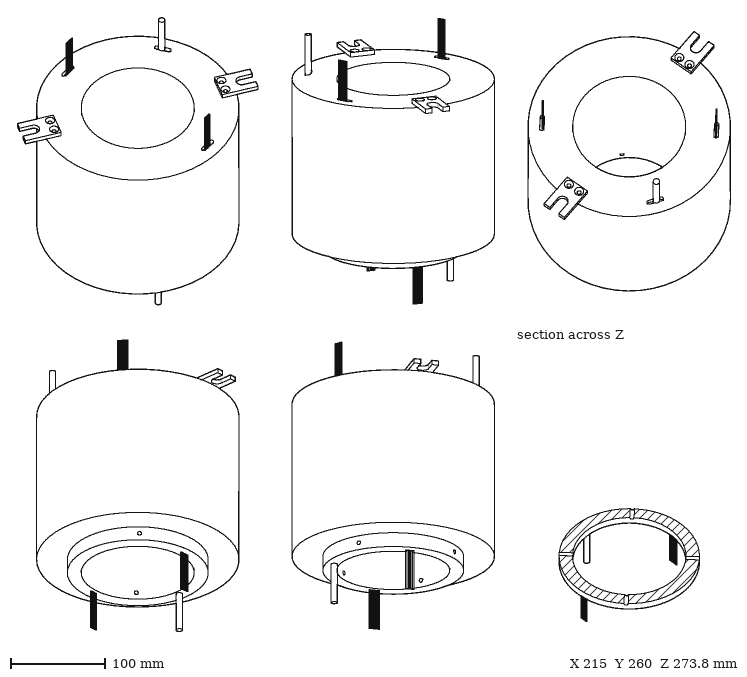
import cadquery as cq
import math

housing_diameter = 215.0
housing_height = 172.0
collar_diameter = 149.5
collar_height = 15.5
bore_diameter = 120.0
housing_top = collar_height + housing_height

set_screw_diameter = 4.0
set_screw_angles = (45, 135, 225, 315)

tab_width = 27.0
tab_length = 40.0
tab_thickness = 5.0
tab_span = 260.0
tab_inner_end = tab_span / 2 - tab_length
fork_width = 12.0
fork_depth = 20.0

screw_spacing = 13.7
screw_end_margin = 5.8
screw_diameter = 4.0
screw_head_diameter = 9.5
screw_depth = 11.0
countersink_angle = 90
drill_point_angle = 118

top_lead_length = 43.0
bottom_lead_length = 43.3
top_lead_radius = 92.5
bottom_lead_radius = 65.5
cable_diameter = 6.8
cable_shift = 1.5
thick_wire_diameter = 1.5
thick_wires_per_row = 6
thin_wire_diameter = 0.95
thin_wires_per_row = 12
thin_row_shift = 2.5
wire_overlap = 0.03

lead_slot_length = 18.0
lead_slot_width = 4.7
lead_slot_depth = 5.5

top_cable_angle = 145
top_double_row_angle = 35
top_single_row_angle = 215
bottom_cable_angle = 0
bottom_double_row_angle = 90
bottom_single_row_angle = 270


def cylinder(diameter, bottom, height):
    """Upright cylinder on the Z axis."""
    return cq.Workplane("XY").workplane(offset=bottom).circle(diameter / 2).extrude(height)


def place_around_axis(shape, radius, angle):
    """Move a shape out from the axis and swing it round; its Y becomes the tangent."""
    return shape.translate((radius, 0, 0)).rotate((0, 0, 0), (0, 0, 1), angle)


def make_body():
    """Housing and collar with the common bore and the collar's set-screw holes."""
    body = cylinder(collar_diameter, 0, collar_height)
    body = body.union(cylinder(housing_diameter, collar_height, housing_height))
    body = body.cut(cylinder(bore_diameter, 0, housing_top))
    drill = (
        cq.Workplane("YZ")
        .center(0, collar_height / 2)
        .circle(set_screw_diameter / 2)
        .extrude(collar_diameter / 2)
    )
    for angle in set_screw_angles:
        body = body.cut(drill.rotate((0, 0, 0), (0, 0, 1), angle))
    return body


def make_tab():
    """Flat tab on the +Y side, with a round-ended fork opening outwards."""
    half_fork = fork_width / 2
    fork_end = tab_span / 2 - fork_depth
    tab = (
        cq.Workplane("XY")
        .workplane(offset=housing_top)
        .center(0, tab_inner_end + tab_length / 2)
        .rect(tab_width, tab_length)
        .extrude(tab_thickness)
    )
    fork = (
        cq.Workplane("XY")
        .workplane(offset=housing_top)
        .moveTo(half_fork, tab_span / 2)
        .lineTo(half_fork, fork_end + half_fork)
        .threePointArc((0, fork_end), (-half_fork, fork_end + half_fork))
        .lineTo(-half_fork, tab_span / 2)
        .close()
        .extrude(tab_thickness)
    )
    return tab.cut(fork)


def make_screw_hole():
    """Countersunk hole with a drill point, as a solid to cut away, on the Z axis."""
    top = housing_top + tab_thickness
    head_radius = screw_head_diameter / 2
    shank_radius = screw_diameter / 2
    head_depth = (head_radius - shank_radius) / math.tan(math.radians(countersink_angle / 2))
    point_depth = shank_radius / math.tan(math.radians(drill_point_angle / 2))
    return (
        cq.Workplane("XZ")
        .moveTo(0, top)
        .lineTo(head_radius, top)
        .lineTo(shank_radius, top - head_depth)
        .lineTo(shank_radius, top - screw_depth)
        .lineTo(0, top - screw_depth - point_depth)
        .close()
        .revolve(360, (0, 0, 0), (0, 1, 0))
    )


def make_wire_block(diameter, rows, wires_per_row, bottom, height):
    """Rows of upright wires side by side; the rows run along Y, centred on the Z axis."""
    pitch = diameter - wire_overlap
    return (
        cq.Workplane("XY")
        .workplane(offset=bottom)
        .rarray(pitch, pitch, rows, wires_per_row)
        .circle(diameter / 2)
        .extrude(height)
    )


def make_leads(bottom, height, radius, cable_angle, double_row_angle, single_row_angle, row_shift):
    """The three leads of one end; row_shift moves the single row along its tangent."""
    cable = cylinder(cable_diameter, bottom, height).translate((0, cable_shift, 0))
    double_row = make_wire_block(thick_wire_diameter, 2, thick_wires_per_row, bottom, height)
    single_row = make_wire_block(thin_wire_diameter, 1, thin_wires_per_row, bottom, height)
    single_row = single_row.translate((0, row_shift, 0))
    return (
        place_around_axis(cable, radius, cable_angle),
        place_around_axis(double_row, radius, double_row_angle),
        place_around_axis(single_row, radius, single_row_angle),
    )


result = make_body()

screw_y = tab_inner_end + screw_end_margin
for side_angle in (0, 180):
    result = result.union(make_tab().rotate((0, 0, 0), (0, 0, 1), side_angle))
    for screw_x in (-screw_spacing / 2, screw_spacing / 2):
        hole = make_screw_hole().translate((screw_x, screw_y, 0))
        result = result.cut(hole.rotate((0, 0, 0), (0, 0, 1), side_angle))

lead_slot_floor = housing_top - lead_slot_depth
lead_slot = (
    cq.Workplane("XY")
    .workplane(offset=lead_slot_floor)
    .slot2D(lead_slot_length, lead_slot_width, 90)
    .extrude(lead_slot_depth)
)
for slot_angle in (top_cable_angle, top_double_row_angle, top_single_row_angle):
    result = result.cut(place_around_axis(lead_slot, top_lead_radius, slot_angle))

top_leads = make_leads(
    lead_slot_floor,
    lead_slot_depth + top_lead_length,
    top_lead_radius,
    top_cable_angle,
    top_double_row_angle,
    top_single_row_angle,
    -thin_row_shift,
)
bottom_leads = make_leads(
    -bottom_lead_length,
    bottom_lead_length,
    bottom_lead_radius,
    bottom_cable_angle,
    bottom_double_row_angle,
    bottom_single_row_angle,
    thin_row_shift,
)
for lead in top_leads + bottom_leads:
    result = result.union(lead)